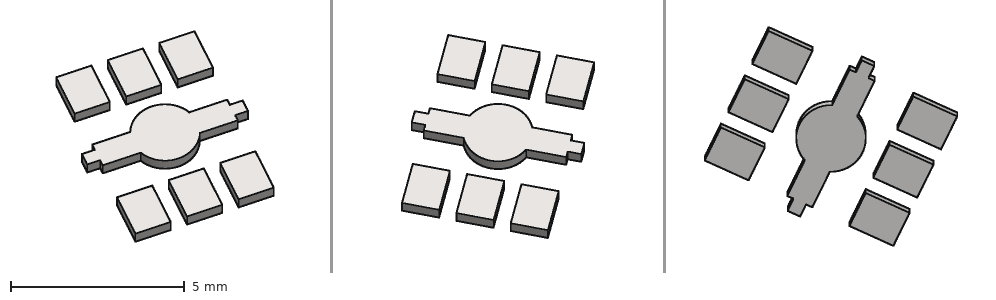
import cadquery as cq

overall_width = 6.0
overall_length = 5.0
thickness = 0.4

pad_width = 1.4
pad_length = 1.1
pad_pitch = 1.6
pads_per_column = 3
column_offset = (overall_width - pad_width) / 2

disc_diameter = 2.005
arm_width = 0.8
arm_span = 4.2
tip_width = 0.4


def make_center_bar():
    """Round disc crossed by a wide arm and a narrower, longer tip strip."""
    disc = cq.Workplane("XY").circle(disc_diameter / 2).extrude(thickness)
    arms = cq.Workplane("XY").rect(arm_width, arm_span).extrude(thickness)
    tips = cq.Workplane("XY").rect(tip_width, overall_length).extrude(thickness)
    return disc.union(arms).union(tips)


def make_pad(x, y):
    """Plain rectangular pad centred at (x, y)."""
    return cq.Workplane("XY").center(x, y).rect(pad_width, pad_length).extrude(thickness)


center_bar = make_center_bar()

pads = []
for side in (-1, 1):
    for row in range(pads_per_column):
        pad_y = (row - (pads_per_column - 1) / 2) * pad_pitch
        pads.append(make_pad(side * column_offset, pad_y).val())

result = cq.Compound.makeCompound([center_bar.val(), *pads])